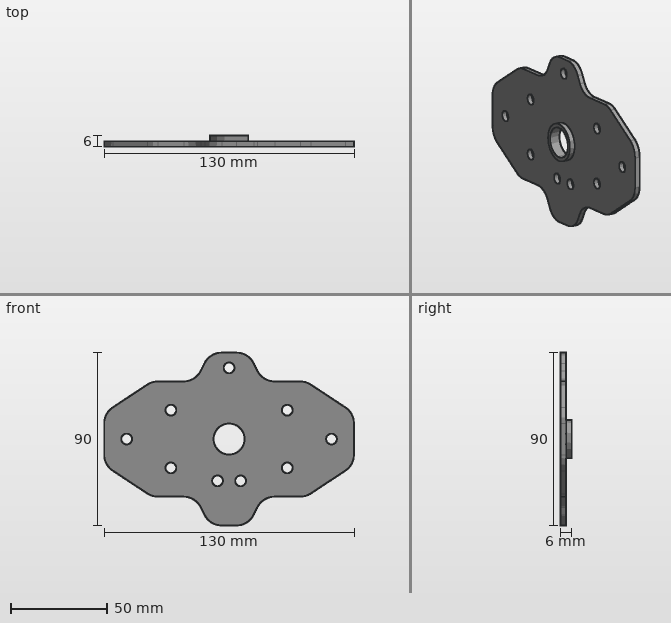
import cadquery as cq

PLATE_THICKNESS = 3.0
HALF_WIDTH = 65.0
HALF_HEIGHT = 45.0
SHOULDER_HEIGHT = 30.0
END_CORNER_Z = 13.5
SHOULDER_OUTER_X = 40.0
LOBE_ROOT_X = 17.5
LOBE_TIP_X = 10.0
CORNER_RADIUS = 10.0

BOSS_DIAMETER = 20.0
BOSS_HEIGHT = 3.0
BORE_DIAMETER = 16.0

HOLE_DIAMETER = 5.5
END_HOLE_X = 53.25
TOP_HOLE_Z = 37.0
CORNER_HOLE_X = 30.25
CORNER_HOLE_Z = 15.0
LOWER_HOLE_X = 6.0
LOWER_HOLE_Z = -21.75


def face_plane(y=0.0):
    """Sketch plane at the given Y: local x is X, local y is Z, normal is -Y."""
    return cq.Workplane("XZ", origin=(0, y, 0))


def make_plate():
    """Plate outline, symmetric about X and Z, with all corners rounded."""
    quarter = [
        (HALF_WIDTH, END_CORNER_Z),
        (SHOULDER_OUTER_X, SHOULDER_HEIGHT),
        (LOBE_ROOT_X, SHOULDER_HEIGHT),
        (LOBE_TIP_X, HALF_HEIGHT),
    ]
    upper = quarter + [(-x, z) for x, z in reversed(quarter)]
    lower = [(-x, -z) for x, z in upper]
    outline = face_plane().polyline(upper + lower).close()
    return outline.extrude(-PLATE_THICKNESS).edges("|Y").fillet(CORNER_RADIUS)


def make_boss():
    """Round boss standing on the back face of the plate."""
    circle = face_plane(PLATE_THICKNESS).circle(BOSS_DIAMETER / 2)
    return circle.extrude(-BOSS_HEIGHT)


def make_through_cutter(points, diameter):
    """Cylinders along Y, long enough to pass through plate and boss."""
    circles = face_plane().pushPoints(points).circle(diameter / 2)
    return circles.extrude(-(PLATE_THICKNESS + BOSS_HEIGHT))


end_holes = [(side * END_HOLE_X, 0) for side in (-1, 1)]
corner_holes = [(i * CORNER_HOLE_X, j * CORNER_HOLE_Z) for i in (-1, 1) for j in (-1, 1)]
lower_holes = [(side * LOWER_HOLE_X, LOWER_HOLE_Z) for side in (-1, 1)]
top_hole = [(0, TOP_HOLE_Z)]
small_holes = end_holes + corner_holes + lower_holes + top_hole

result = (
    make_plate()
    .union(make_boss())
    .cut(make_through_cutter([(0, 0)], BORE_DIAMETER))
    .cut(make_through_cutter(small_holes, HOLE_DIAMETER))
)